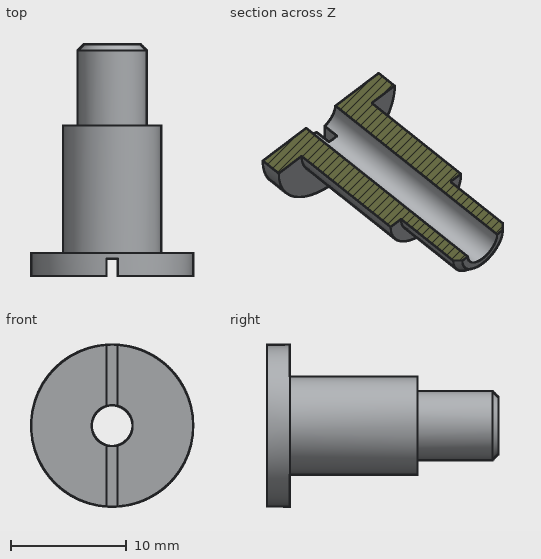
import cadquery as cq

total_length = 20.0
head_diameter = 14.0
head_thickness = 2.0
shoulder_diameter = 8.5
shoulder_length = 11.0
pin_diameter = 6.0
pin_length = total_length - head_thickness - shoulder_length
tip_chamfer = 0.55
bore_diameter = 3.5
slot_width = 0.95
slot_depth = 1.5


def cylinder_along_y(diameter, length, start=0.0):
    """Cylinder on the Y axis, running from start towards +Y."""
    return cq.Workplane("XZ", origin=(0, start, 0)).circle(diameter / 2).extrude(-length)


head = cylinder_along_y(head_diameter, head_thickness)
shoulder = cylinder_along_y(shoulder_diameter, shoulder_length, head_thickness)
pin = cylinder_along_y(pin_diameter, pin_length, head_thickness + shoulder_length)
pin = pin.faces(">Y").chamfer(tip_chamfer)
body = head.union(shoulder).union(pin)

bore = cylinder_along_y(bore_diameter, total_length)

slot = cq.Workplane("XY").box(
    slot_width, slot_depth, head_diameter, centered=(True, False, True)
)

result = body.cut(bore).cut(slot)